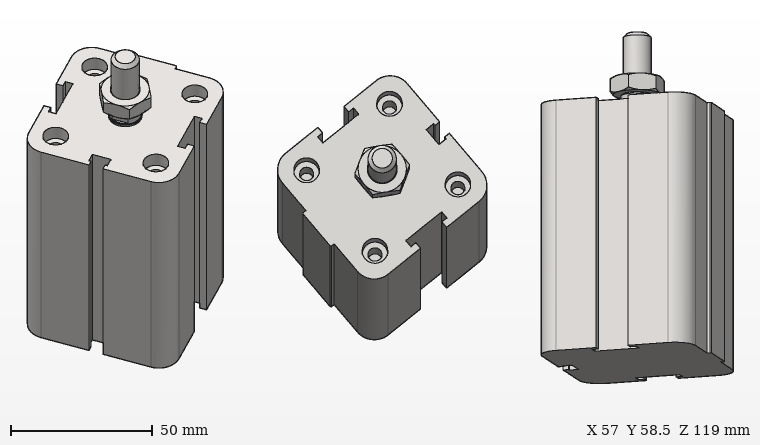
import cadquery as cq
import math


HOUSING_SIDE = 57.0
HOUSING_HEIGHT = 90.5
CORNER_RADIUS = 7.7
PAD_WIDTH = 15.7
PAD_HEIGHT = 1.5
PAD_CHAMFER = 0.4

SLOT_DEPTH = 5.5
SIDE_SLOT_OPENING = 11.9
SIDE_SLOT_WIDTH = 16.4
SIDE_SLOT_LIP = 2.6
FRONT_SLOT_OPENING = 5.4
FRONT_SLOT_WIDTH = 7.0
FRONT_SLOT_LIP = 2.1

HOLE_SPACING = 38.0
HOLE_DIAMETER = 4.9
HOLE_DEPTH = 14.4
COUNTERBORE_DIAMETER = 9.0
COUNTERBORE_DEPTH = 5.5

ROD_TOP = 119.0
COLLAR_DIAMETER = 12.0
COLLAR_HEIGHT = 1.1
COLLAR_BEVEL = 0.4
SHANK_DIAMETER = 11.7
SHANK_TOP = 97.0
SHANK_CHAMFER = 0.6
STUD_DIAMETER = 10.0
STUD_CHAMFER = 1.4
FLATS_WIDTH = 10.0
FLATS_BOTTOM = HOUSING_HEIGHT + 1.4

NUT_SIDES = 6
NUT_ACROSS_FLATS = 17.0
NUT_BOTTOM = SHANK_TOP
NUT_TOP = 103.0
NUT_CHAMFER_ANGLE = 30.0
NUT_COUNTERSINK = 0.3


def t_slot(opening, width, lip):
    """T-slot cutter that enters the housing from its -Y face."""
    face_y = -HOUSING_SIDE / 2
    neck = cq.Workplane("XY").box(opening, lip, HOUSING_HEIGHT, centered=(True, False, False))
    head = cq.Workplane("XY").box(width, SLOT_DEPTH - lip, HOUSING_HEIGHT, centered=(True, False, False))
    return neck.union(head.translate((0, lip, 0))).translate((0, face_y, 0))


def make_housing():
    """Square housing with a back pad, three T-slots and four mounting holes."""
    block = cq.Workplane("XY").rect(HOUSING_SIDE, HOUSING_SIDE).extrude(HOUSING_HEIGHT)
    block = block.edges("|Z").fillet(CORNER_RADIUS)

    pad_length = HOUSING_SIDE / 2 + PAD_HEIGHT
    pad = cq.Workplane("XY").box(PAD_WIDTH, pad_length, HOUSING_HEIGHT, centered=(True, False, False))
    pad = pad.faces(">Y").edges("|Z").chamfer(PAD_CHAMFER)
    block = block.union(pad)

    block = block.cut(t_slot(FRONT_SLOT_OPENING, FRONT_SLOT_WIDTH, FRONT_SLOT_LIP))
    side_slot = t_slot(SIDE_SLOT_OPENING, SIDE_SLOT_WIDTH, SIDE_SLOT_LIP)
    for angle in (-90, 90):
        block = block.cut(side_slot.rotate((0, 0, 0), (0, 0, 1), angle))

    return (
        block.faces(">Z").workplane(origin=(0, 0, HOUSING_HEIGHT))
        .rect(HOLE_SPACING, HOLE_SPACING, forConstruction=True).vertices()
        .cboreHole(HOLE_DIAMETER, COUNTERBORE_DIAMETER, COUNTERBORE_DEPTH, HOLE_DEPTH)
    )


def make_rod():
    """Turned rod end that stands on the housing, with wrench flats under the nut."""
    collar_radius = COLLAR_DIAMETER / 2
    shank_radius = SHANK_DIAMETER / 2
    stud_radius = STUD_DIAMETER / 2
    collar_top = HOUSING_HEIGHT + COLLAR_HEIGHT
    rod = (
        cq.Workplane("XZ")
        .moveTo(0, HOUSING_HEIGHT)
        .lineTo(collar_radius, HOUSING_HEIGHT)
        .lineTo(collar_radius, collar_top - COLLAR_BEVEL)
        .lineTo(shank_radius, collar_top)
        .lineTo(shank_radius, SHANK_TOP - SHANK_CHAMFER)
        .lineTo(shank_radius - SHANK_CHAMFER, SHANK_TOP)
        .lineTo(stud_radius, SHANK_TOP)
        .lineTo(stud_radius, ROD_TOP - STUD_CHAMFER)
        .lineTo(stud_radius - STUD_CHAMFER, ROD_TOP)
        .lineTo(0, ROD_TOP)
        .close()
        .revolve(360, (0, 0, 0), (0, 1, 0))
    )
    flat_height = SHANK_TOP - FLATS_BOTTOM
    for side in (-1, 1):
        cutter = cq.Workplane("XY").box(
            COLLAR_DIAMETER, COLLAR_DIAMETER, flat_height, centered=(True, True, False)
        )
        offset = side * (FLATS_WIDTH + COLLAR_DIAMETER) / 2
        rod = rod.cut(cutter.translate((0, offset, FLATS_BOTTOM)))
    return rod


def make_nut():
    """Hexagon nut around the stud, its bore countersunk on top."""
    corner_diameter = NUT_ACROSS_FLATS / math.cos(math.pi / NUT_SIDES)
    height = NUT_TOP - NUT_BOTTOM
    hexagon = cq.Workplane("XY").polygon(NUT_SIDES, corner_diameter).extrude(height)

    flat_radius = NUT_ACROSS_FLATS / 2
    corner_radius = corner_diameter / 2
    cone_height = (corner_radius - flat_radius) * math.tan(math.radians(NUT_CHAMFER_ANGLE))
    turned = (
        cq.Workplane("XZ")
        .moveTo(0, 0)
        .lineTo(flat_radius, 0)
        .lineTo(corner_radius, cone_height)
        .lineTo(corner_radius, height - cone_height)
        .lineTo(flat_radius, height)
        .lineTo(0, height)
        .close()
        .revolve(360, (0, 0, 0), (0, 1, 0))
    )
    nut = hexagon.intersect(turned).faces(">Z").workplane().hole(STUD_DIAMETER)
    bore_rim = nut.faces(">Z").edges("%CIRCLE").edges(cq.selectors.RadiusNthSelector(0))
    nut = bore_rim.chamfer(NUT_COUNTERSINK)
    return nut.translate((0, 0, NUT_BOTTOM))


housing = make_housing()
rod = make_rod()
nut = make_nut()

result = cq.Compound.makeCompound([housing.val(), rod.val(), nut.val()])